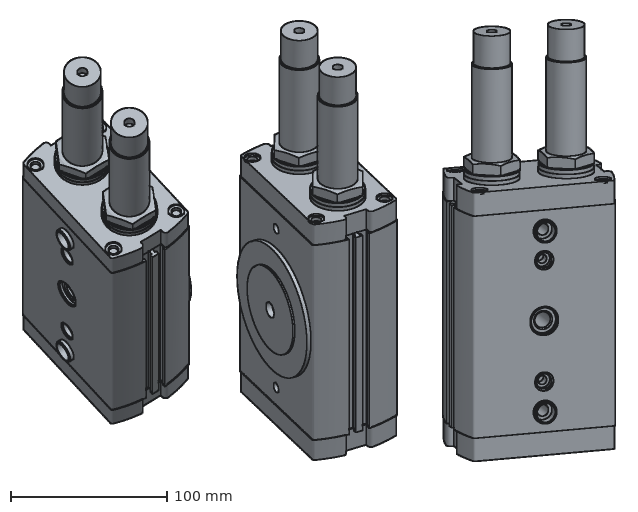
import cadquery as cq
import math

BOTTOM_CAP_TOP = 15.5
BARREL_TOP = 162.8
TOP_CAP_TOP = 178.2
OVERALL_HEIGHT = 275.5
CENTER_Z = (BOTTOM_CAP_TOP + BARREL_TOP) / 2

BARREL_WIDTH = 106.0
FRONT_Y = -31.0
BACK_Y = -FRONT_Y
SIDE_RADIUS = 91
CORNER_FILLET = 1.7
CAP_SIDE_INSET = 0.5
CAP_FRONT_INSET = 0.15
CAP_BACK_INSET = 0.5

NOTCH_FLOOR_X = 48.0
NOTCH_HALF_WIDTH = 8.0
NOTCH_FILLET = 2.8
NOTCH_WALL_MARGIN = 0.3

RIB_WIDTH = 5.0
SLOT_OPENING = 5.0
SLOT_FLOOR_X = 46.8
SLOT_LIP = 2.5
SLOT_UNDERCUT = 1.0

SLOT_EDGE_Y = RIB_WIDTH / 2 + SLOT_OPENING
SIDE_CREST = BARREL_WIDTH / 2 + SIDE_RADIUS - math.sqrt(SIDE_RADIUS**2 - SLOT_EDGE_Y**2)

SCREW_X = 41.5
SCREW_Y = 25.0
SCREW_RECESS_DIAMETER = 10.5
SCREW_RECESS_DEPTH = 1.5
SCREW_SOCKET_DIAMETER = 6.5
SCREW_SOCKET_DEPTH = 2.8

DAMPER_X = 25.0
COLLAR_DIAMETER = 36.0
COLLAR_TOP = 181.0
WASHER_DIAMETER = 35.5
WASHER_TOP = 184.3
WASHER_CHAMFER = 0.5
NUT_ACROSS_FLATS = 32.0
NUT_TOP = 191.7
NUT_TOP_CIRCLE_DIAMETER = 31.5
NUT_CHAMFER_HEIGHT = 0.8
TUBE_DIAMETER = 26.0
TUBE_TOP = 254.3
TUBE_CHAMFER = 0.5
TIP_DIAMETER = 23.7
TIP_HOLE_DIAMETER = 6.5
TIP_HOLE_DEPTH = 5.5

SLEEVE_OFFSET = 60.0
MOUNT_HOLE_OFFSET = 40.2
MOUNT_THROUGH_DIAMETER = 6.5
SLEEVE_SEAT_STEP_DIAMETER = 7.7
SLEEVE_SEAT_STEP_DEPTH = 16.5
BLIND_HOLE_MOUTH_DIAMETER = 12.5
BLIND_HOLE_MOUTH_DEPTH = 0.8
BLIND_HOLE_DIAMETER = 10.0
BLIND_HOLE_DEPTH = 4.0
BLIND_PILOT_DIAMETER = 5.8
BLIND_PILOT_DEPTH = 11
CENTER_MOUTH_DIAMETER = 19.0
CENTER_MOUTH_DEPTH = 0.8
CENTER_RECESS_DIAMETER = 17.0
CENTER_RECESS_DEPTH = 2.8
CENTER_BORE_MOUTH_DIAMETER = 12.5
CENTER_BORE_DIAMETER = 10.5

SLEEVE_DIAMETER = 15.0
SLEEVE_BORE_DIAMETER = 12.5
SLEEVE_SEAT_DEPTH = 3.3
SLEEVE_PROTRUSION = 3.3
SLEEVE_CHAMFER = 0.5

FLANGE_DIAMETER = 91.2
FLANGE_THICKNESS = 3.0
FLANGE_BOSS_DIAMETER = 59.8
OVERALL_DEPTH = 70.0
FLANGE_BACK_Y = FRONT_Y - SLEEVE_PROTRUSION + OVERALL_DEPTH


def y_cylinder(diameter, front_y, back_y, z):
    """Cylinder along Y at x = 0 and height z."""
    disc = cq.Workplane("XZ", origin=(0, front_y, z)).circle(diameter / 2)
    return disc.extrude(front_y - back_y)


def y_cone(front_diameter, back_diameter, front_y, z):
    """45-degree cone along Y that starts at front_y and narrows toward +Y."""
    length = (front_diameter - back_diameter) / 2
    mouth = cq.Workplane("XZ", origin=(0, front_y, z)).circle(front_diameter / 2)
    return mouth.workplane(offset=-length).circle(back_diameter / 2).loft()


def z_cylinder(diameter, bottom_z, top_z, x=0, y=0):
    disc = cq.Workplane("XY", origin=(x, y, bottom_z)).circle(diameter / 2)
    return disc.extrude(top_z - bottom_z)


def bulging_block(side_crest, front_y, back_y, bottom_z, top_z):
    """Block with flat front and back, bulging sides and rounded upright corners."""

    def side_x(y):
        return side_crest - SIDE_RADIUS + math.sqrt(SIDE_RADIUS**2 - y**2)

    front_x = side_x(front_y)
    back_x = side_x(back_y)
    return (
        cq.Workplane("XY", origin=(0, 0, bottom_z))
        .moveTo(-front_x, front_y)
        .lineTo(front_x, front_y)
        .threePointArc((side_crest, 0), (back_x, back_y))
        .lineTo(-back_x, back_y)
        .threePointArc((-side_crest, 0), (-front_x, front_y))
        .close()
        .extrude(top_z - bottom_z)
        .edges("|Z")
        .fillet(CORNER_FILLET)
    )


def slot_cutter(side, slot_y):
    """Undercut slot over the barrel length; side is +1 or -1 along X."""
    height = BARREL_TOP - BOTTOM_CAP_TOP
    outer_x = BARREL_WIDTH / 2
    opening_depth = outer_x - SLOT_FLOOR_X
    opening = cq.Workplane("XY").box(opening_depth, SLOT_OPENING, height)
    opening = opening.translate((side * (outer_x - opening_depth / 2), slot_y, CENTER_Z))
    inner_depth = opening_depth - SLOT_LIP
    inner = cq.Workplane("XY").box(inner_depth, SLOT_OPENING + 2 * SLOT_UNDERCUT, height)
    inner = inner.translate((side * (SLOT_FLOOR_X + inner_depth / 2), slot_y, CENTER_Z))
    return opening.union(inner)


def make_barrel():
    barrel = bulging_block(SIDE_CREST, FRONT_Y, BACK_Y, BOTTOM_CAP_TOP, BARREL_TOP)
    width_limit = cq.Workplane("XY").box(BARREL_WIDTH, 2 * BACK_Y, OVERALL_HEIGHT)
    barrel = barrel.intersect(width_limit.translate((0, 0, OVERALL_HEIGHT / 2)))
    slot_y = SLOT_EDGE_Y - SLOT_OPENING / 2
    for side in (-1, 1):
        for y in (-slot_y, slot_y):
            barrel = barrel.cut(slot_cutter(side, y))
    return barrel


def make_cap(bottom_z, top_z):
    crest = SIDE_CREST - CAP_SIDE_INSET
    front_y = FRONT_Y + CAP_FRONT_INSET
    back_y = BACK_Y - CAP_BACK_INSET
    cap = bulging_block(crest, front_y, back_y, bottom_z, top_z)
    notch_depth = crest - NOTCH_FLOOR_X
    notch = cq.Workplane("XY").box(notch_depth, 2 * NOTCH_HALF_WIDTH, top_z - bottom_z)
    for side in (-1, 1):
        notch_x = side * (NOTCH_FLOOR_X + notch_depth / 2)
        cap = cap.cut(notch.translate((notch_x, 0, (bottom_z + top_z) / 2)))
    rim_width = 2 * NOTCH_HALF_WIDTH + NOTCH_FILLET
    rim_box = cq.selectors.BoxSelector(
        (-crest, -rim_width / 2, bottom_z), (crest, rim_width / 2, top_z)
    )
    floor_limit = NOTCH_FLOOR_X + NOTCH_WALL_MARGIN
    floor_box = cq.selectors.BoxSelector(
        (-floor_limit, -rim_width / 2, bottom_z), (floor_limit, rim_width / 2, top_z)
    )
    return cap.edges("|Z").edges(rim_box - floor_box).fillet(NOTCH_FILLET)


def make_nut(x):
    """Hexagonal nut with two corners pointing along Y and its top corners turned off."""
    across_corners = NUT_ACROSS_FLATS / math.cos(math.pi / 6)
    hexagon = cq.Workplane("XY", origin=(0, 0, WASHER_TOP)).polygon(6, across_corners)
    nut = hexagon.extrude(NUT_TOP - WASHER_TOP)
    corner_chamfer = (
        z_cylinder(across_corners, WASHER_TOP, NUT_TOP)
        .faces(">Z")
        .chamfer(NUT_CHAMFER_HEIGHT, (across_corners - NUT_TOP_CIRCLE_DIAMETER) / 2)
    )
    nut = nut.intersect(corner_chamfer)
    return nut.rotate((0, 0, 0), (0, 0, 1), 90).translate((x, 0, 0))


def add_dampers(housing):
    for x in (-DAMPER_X, DAMPER_X):
        collar = z_cylinder(COLLAR_DIAMETER, TOP_CAP_TOP, COLLAR_TOP, x)
        washer = z_cylinder(WASHER_DIAMETER, COLLAR_TOP, WASHER_TOP, x).faces(">Z").chamfer(WASHER_CHAMFER)
        nut = make_nut(x)
        tube = z_cylinder(TUBE_DIAMETER, NUT_TOP, TUBE_TOP, x).faces(">Z").chamfer(TUBE_CHAMFER)
        tip = z_cylinder(TIP_DIAMETER, TUBE_TOP, OVERALL_HEIGHT, x)
        tip_hole = z_cylinder(TIP_HOLE_DIAMETER, OVERALL_HEIGHT - TIP_HOLE_DEPTH, OVERALL_HEIGHT, x)
        housing = housing.union(collar).union(washer).union(nut).union(tube).union(tip).cut(tip_hole)
    return housing


def add_cap_screws(housing):
    floor_z = TOP_CAP_TOP - SCREW_RECESS_DEPTH
    for x in (-SCREW_X, SCREW_X):
        for y in (-SCREW_Y, SCREW_Y):
            recess = z_cylinder(SCREW_RECESS_DIAMETER, floor_z, TOP_CAP_TOP, x, y)
            socket = z_cylinder(SCREW_SOCKET_DIAMETER, floor_z - SCREW_SOCKET_DEPTH, floor_z, x, y)
            housing = housing.cut(recess).cut(socket)
    return housing


def cut_front_holes(housing):
    for direction in (-1, 1):
        sleeve_z = CENTER_Z + direction * SLEEVE_OFFSET
        seat_y = FRONT_Y + SLEEVE_SEAT_DEPTH
        housing = (
            housing.cut(y_cylinder(SLEEVE_DIAMETER, FRONT_Y, seat_y, sleeve_z))
            .cut(y_cylinder(SLEEVE_SEAT_STEP_DIAMETER, seat_y, seat_y + SLEEVE_SEAT_STEP_DEPTH, sleeve_z))
            .cut(y_cylinder(MOUNT_THROUGH_DIAMETER, FRONT_Y, BACK_Y, sleeve_z))
        )
        blind_z = CENTER_Z + direction * MOUNT_HOLE_OFFSET
        mouth_floor_y = FRONT_Y + BLIND_HOLE_MOUTH_DEPTH
        housing = (
            housing.cut(y_cylinder(BLIND_HOLE_MOUTH_DIAMETER, FRONT_Y, mouth_floor_y, blind_z))
            .cut(y_cylinder(BLIND_HOLE_DIAMETER, FRONT_Y, FRONT_Y + BLIND_HOLE_DEPTH, blind_z))
            .cut(y_cylinder(BLIND_PILOT_DIAMETER, FRONT_Y, FRONT_Y + BLIND_PILOT_DEPTH, blind_z))
        )
    recess_floor_y = FRONT_Y + CENTER_RECESS_DEPTH
    return (
        housing.cut(y_cylinder(CENTER_MOUTH_DIAMETER, FRONT_Y, FRONT_Y + CENTER_MOUTH_DEPTH, CENTER_Z))
        .cut(y_cylinder(CENTER_RECESS_DIAMETER, FRONT_Y, recess_floor_y, CENTER_Z))
        .cut(y_cone(CENTER_BORE_MOUTH_DIAMETER, CENTER_BORE_DIAMETER, recess_floor_y, CENTER_Z))
        .cut(y_cylinder(CENTER_BORE_DIAMETER, FRONT_Y, BACK_Y, CENTER_Z))
    )


def make_housing():
    bottom_cap = make_cap(0, BOTTOM_CAP_TOP)
    top_cap = make_cap(BARREL_TOP, TOP_CAP_TOP)
    housing = make_barrel().union(bottom_cap).union(top_cap)
    housing = add_cap_screws(housing)
    housing = add_dampers(housing)
    return cut_front_holes(housing)


def make_flange():
    disc_back_y = BACK_Y + FLANGE_THICKNESS
    disc = y_cylinder(FLANGE_DIAMETER, BACK_Y, disc_back_y, CENTER_Z)
    boss = y_cylinder(FLANGE_BOSS_DIAMETER, disc_back_y, FLANGE_BACK_Y, CENTER_Z)
    bore = y_cylinder(CENTER_BORE_DIAMETER, BACK_Y, FLANGE_BACK_Y, CENTER_Z)
    return disc.union(boss).cut(bore)


def make_sleeve(z):
    tip_y = FRONT_Y - SLEEVE_PROTRUSION
    seat_y = FRONT_Y + SLEEVE_SEAT_DEPTH
    sleeve = y_cylinder(SLEEVE_DIAMETER, tip_y, seat_y, z).faces("<Y").chamfer(SLEEVE_CHAMFER)
    return sleeve.cut(y_cylinder(SLEEVE_BORE_DIAMETER, tip_y, seat_y, z))


housing = make_housing()
flange = make_flange()
sleeves = [make_sleeve(CENTER_Z + direction * SLEEVE_OFFSET) for direction in (-1, 1)]

result = cq.Compound.makeCompound(
    [housing.val(), flange.val(), *[sleeve.val() for sleeve in sleeves]]
)